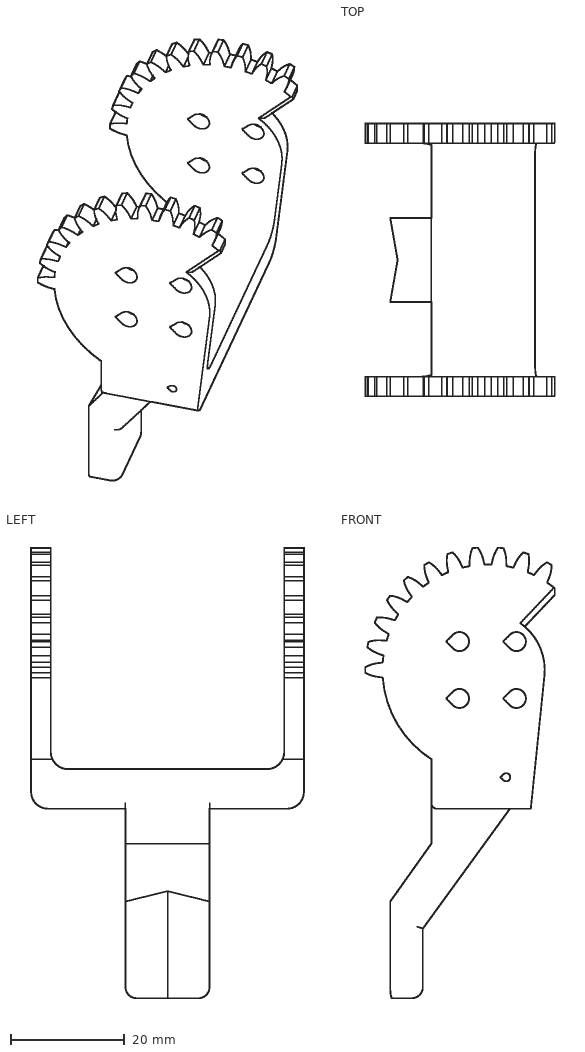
import cadquery as cq
import math


MODULE = 1.35
TEETH_PER_TURN = 30
TEETH_BEFORE_TOP = 8
TEETH_AFTER_TOP = 3
PRESSURE_ANGLE = math.radians(20)
PITCH_RADIUS = MODULE * TEETH_PER_TURN / 2
TIP_RADIUS = PITCH_RADIUS + MODULE
ROOT_RADIUS = PITCH_RADIUS - 1.25 * MODULE
BASE_RADIUS = PITCH_RADIUS * math.cos(PRESSURE_ANGLE)
TOOTH_PITCH = 2 * math.pi / TEETH_PER_TURN
TOOTH_FOOT_FLARE = math.radians(0.3)
TOOTH_OVERLAP = 0.5

WIDTH = 48.0
PLATE_THICKNESS = 3.5
HUB_RADIUS = 10.0
BACK_X = -9.95
BASE_BOTTOM_Z = -24.4
BASE_THICKNESS = 7.0
FRONT_LEAN = math.radians(5.85)
CORNER_RADIUS = 3.0
BACK_EDGE_RADIUS = 1.0

SECTOR_END_X = 11.77
SECTOR_CUT_ANGLE = math.radians(46.5)
SECTOR_CUT_OFFSET = 0.55
SECTOR_BEVEL = 1.0

MOUNT_HOLE_SPACING = 10.0
MOUNT_HOLE_RADIUS = 1.65
PIN_HOLE_RADIUS = 0.7
PIN_HOLE_X = 3.2
PIN_HOLE_Z = -18.85

HANDLE_WIDTH = 14.8
HANDLE_BOTTOM_Z = -57.72
HANDLE_BACK_X = -17.2
HANDLE_THICKNESS = 5.78
HANDLE_FRONT_LEAN = math.radians(36)
HANDLE_UPPER_BEND_Z = -30.5
HANDLE_LOWER_BEND_Z = -40.7
HANDLE_FRONT_BEND_Z = -45.45
HANDLE_EDGE_RADIUS = 2.0
GROOVE_DEPTH = 1.3


def polar(radius, angle):
    """Point at an angle measured clockwise from +Z towards +X."""
    return (radius * math.sin(angle), radius * math.cos(angle))


def along_y(outline, y_start, y_end):
    """Extrude an XZ outline from y_start to y_end."""
    return outline.extrude(y_start - y_end).translate((0, y_start, 0))


def xz_plane():
    return cq.Workplane("XZ")


def involute(angle):
    return math.tan(angle) - angle


def half_tooth_angle(radius):
    """Half the angle that a tooth covers at a radius on its involute flank."""
    flank_angle = math.acos(BASE_RADIUS / radius)
    return TOOTH_PITCH / 4 + involute(PRESSURE_ANGLE) - involute(flank_angle)


def tooth(direction):
    """Involute tooth across the full width, pointing at an angle from +Z."""
    foot_radius = ROOT_RADIUS - TOOTH_OVERLAP
    base = half_tooth_angle(BASE_RADIUS)
    foot = base + TOOTH_FOOT_FLARE
    middle = half_tooth_angle(PITCH_RADIUS)
    tip = half_tooth_angle(TIP_RADIUS)
    outline = (
        xz_plane()
        .moveTo(*polar(foot_radius, direction - foot))
        .lineTo(*polar(ROOT_RADIUS, direction - foot))
        .lineTo(*polar(BASE_RADIUS, direction - base))
        .threePointArc(polar(PITCH_RADIUS, direction - middle), polar(TIP_RADIUS, direction - tip))
        .threePointArc(polar(TIP_RADIUS, direction), polar(TIP_RADIUS, direction + tip))
        .threePointArc(polar(PITCH_RADIUS, direction + middle), polar(BASE_RADIUS, direction + base))
        .lineTo(*polar(ROOT_RADIUS, direction + foot))
        .lineTo(*polar(foot_radius, direction + foot))
        .close()
    )
    return along_y(outline, -WIDTH / 2, WIDTH / 2)


def sector_cut(low_y):
    """Wedge under the end of the gear sector, with its bevel, for the plate that starts at low_y."""
    run = math.cos(SECTOR_CUT_ANGLE)
    rise = math.sin(SECTOR_CUT_ANGLE)
    reach = 2 * TIP_RADIUS

    def section(y, offset):
        start = (-rise * offset, run * offset)
        end = (start[0] + reach * run, start[1] + reach * rise)
        corners = (start, end, (end[0], 0), (start[0], 0))
        points = [cq.Vector(x, y, z) for x, z in corners]
        return cq.Wire.makePolygon(points, close=True)

    face_section = section(low_y, SECTOR_CUT_OFFSET + SECTOR_BEVEL)
    bevel_section = section(low_y + SECTOR_BEVEL, SECTOR_CUT_OFFSET)
    far_section = section(low_y + PLATE_THICKNESS, SECTOR_CUT_OFFSET)
    bevel = cq.Workplane(cq.Solid.makeLoft([face_section, bevel_section], True))
    return bevel.union(cq.Workplane(cq.Solid.makeLoft([bevel_section, far_section], True)))


def gear_sector():
    """Toothed root disc without its lower front quarter and the part beyond the sector end."""
    sector = along_y(xz_plane().circle(ROOT_RADIUS), -WIDTH / 2, WIDTH / 2)
    for index in range(-TEETH_BEFORE_TOP, TEETH_AFTER_TOP):
        sector = sector.union(tooth((index + 0.5) * TOOTH_PITCH))
    lower_front = xz_plane().rect(2 * TIP_RADIUS, -2 * TIP_RADIUS, centered=False)
    sector = sector.cut(along_y(lower_front, -WIDTH / 2, WIDTH / 2))
    for low_y in (-WIDTH / 2, WIDTH / 2 - PLATE_THICKNESS):
        sector = sector.cut(sector_cut(low_y))
    beyond_end = xz_plane().center(SECTOR_END_X, 0).rect(TIP_RADIUS, 2 * TIP_RADIUS, centered=False)
    return sector.cut(along_y(beyond_end, -WIDTH / 2, WIDTH / 2))


def plate_body():
    """Hub and lower plate: a round top running tangent into the leaning front edge."""
    tangent = polar(HUB_RADIUS, math.pi / 2 + FRONT_LEAN)
    bottom_front_x = tangent[0] - (tangent[1] - BASE_BOTTOM_Z) * math.tan(FRONT_LEAN)
    outline = (
        xz_plane()
        .moveTo(BACK_X, BASE_BOTTOM_Z)
        .lineTo(bottom_front_x, BASE_BOTTOM_Z)
        .lineTo(*tangent)
        .threePointArc(polar(HUB_RADIUS, math.pi / 4), (0, HUB_RADIUS))
        .lineTo(BACK_X, 0)
        .close()
    )
    body = along_y(outline, -WIDTH / 2, WIDTH / 2)
    body = body.edges("<X and <Z").fillet(BACK_EDGE_RADIUS)
    envelope = (
        cq.Workplane()
        .box(2 * WIDTH, WIDTH, 2 * HUB_RADIUS - BASE_BOTTOM_Z, centered=(True, True, False))
        .translate((0, 0, BASE_BOTTOM_Z))
        .edges("|X and <Z")
        .fillet(CORNER_RADIUS)
    )
    return body.intersect(envelope)


def space_between_plates():
    """Rounded block that separates the plates down to the floor of the base."""
    gap = WIDTH - 2 * PLATE_THICKNESS
    floor_z = BASE_BOTTOM_Z + BASE_THICKNESS
    height = 2 * TIP_RADIUS - floor_z
    block = cq.Workplane().box(4 * TIP_RADIUS, gap, height, centered=(True, True, False))
    return block.translate((0, 0, floor_z)).edges("|X and <Z").fillet(CORNER_RADIUS)


def teardrop(radius, x, z):
    """Round hole along Y whose point faces -X, with sides at 45 degrees."""
    touch = radius * math.sqrt(0.5)
    outline = (
        xz_plane()
        .moveTo(x - radius * math.sqrt(2), z)
        .lineTo(x - touch, z - touch)
        .threePointArc((x + radius, z), (x - touch, z + touch))
        .close()
    )
    return along_y(outline, -WIDTH, WIDTH)


def handle():
    """Cranked bar under the base, rounded along its front and bottom, grooved at the back."""
    slope = math.tan(HANDLE_FRONT_LEAN)
    front_x = HANDLE_BACK_X + HANDLE_THICKNESS
    top_z = BASE_BOTTOM_Z + BASE_THICKNESS / 2
    outline = (
        xz_plane()
        .moveTo(BACK_X, top_z)
        .lineTo(BACK_X, HANDLE_UPPER_BEND_Z)
        .lineTo(HANDLE_BACK_X, HANDLE_LOWER_BEND_Z)
        .lineTo(HANDLE_BACK_X, HANDLE_BOTTOM_Z)
        .lineTo(front_x, HANDLE_BOTTOM_Z)
        .lineTo(front_x, HANDLE_FRONT_BEND_Z)
        .lineTo(front_x + (top_z - HANDLE_FRONT_BEND_Z) * slope, top_z)
        .close()
    )
    bar = along_y(outline, -HANDLE_WIDTH / 2, HANDLE_WIDTH / 2)
    side_y = HANDLE_WIDTH / 2
    lower_middle_z = (HANDLE_BOTTOM_Z + HANDLE_FRONT_BEND_Z) / 2
    upper_middle_z = (top_z + HANDLE_FRONT_BEND_Z) / 2
    upper_middle_x = front_x + (upper_middle_z - HANDLE_FRONT_BEND_Z) * slope
    rounded = bar.faces("<Z").edges("|X or >X").vals()
    for y in (-side_y, side_y):
        rounded += bar.edges(cq.NearestToPointSelector((front_x, y, lower_middle_z))).vals()
        rounded += bar.edges(cq.NearestToPointSelector((upper_middle_x, y, upper_middle_z))).vals()
    bar = bar.newObject(rounded).fillet(HANDLE_EDGE_RADIUS)
    return bar.cut(grip_groove())


def grip_groove():
    """Shallow V running vertically along the back of the handle."""
    outline = (
        cq.Workplane()
        .moveTo(HANDLE_BACK_X, -HANDLE_WIDTH / 2)
        .lineTo(HANDLE_BACK_X + GROOVE_DEPTH, 0)
        .lineTo(HANDLE_BACK_X, HANDLE_WIDTH / 2)
        .close()
    )
    return outline.extrude(HANDLE_BOTTOM_Z)


def holes():
    """Four mounting holes around the gear axis and one pin hole near the base, through both plates."""
    half_spacing = MOUNT_HOLE_SPACING / 2
    cutters = teardrop(PIN_HOLE_RADIUS, PIN_HOLE_X, PIN_HOLE_Z)
    for x in (-half_spacing, half_spacing):
        for z in (-half_spacing, half_spacing):
            cutters = cutters.union(teardrop(MOUNT_HOLE_RADIUS, x, z))
    return cutters


bracket = plate_body().union(gear_sector()).cut(space_between_plates())
result = bracket.union(handle()).cut(holes()).solids()